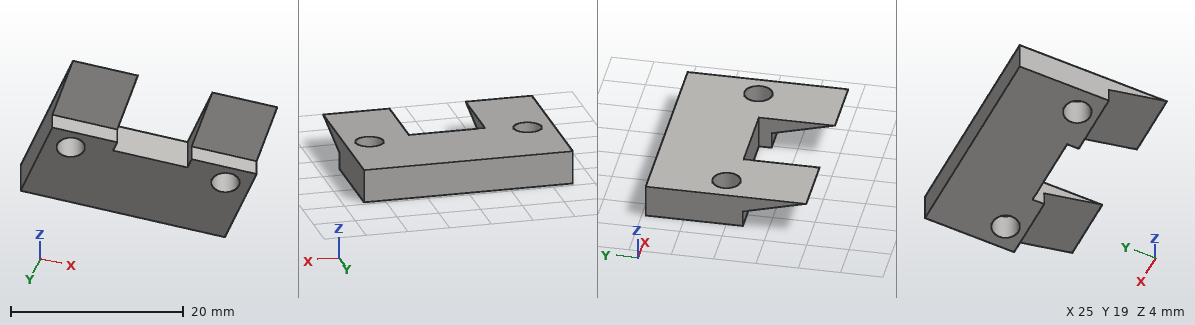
import cadquery as cq

width = 25.0
depth = 19.0
height = 4.0

lip_length = 7.5
lip_root_thickness = 2.0

slot_width = 9.1
slot_depth = 9.0

hole_diameter = 3.3
hole_spacing = 18.92
hole_pair_offset = 0.08
hole_from_front = 10.05

body = (
    cq.Workplane("YZ")
    .moveTo(0, height)
    .lineTo(lip_length, height - lip_root_thickness)
    .lineTo(lip_length, 0)
    .lineTo(depth, 0)
    .lineTo(depth, height)
    .close()
    .extrude(width / 2, both=True)
)

slot = cq.Workplane("XY").box(slot_width, slot_depth, height, centered=(True, False, False))

holes = (
    cq.Workplane("XY")
    .pushPoints([(hole_pair_offset + side * hole_spacing / 2, hole_from_front) for side in (-1, 1)])
    .circle(hole_diameter / 2)
    .extrude(height)
)

result = body.cut(slot).cut(holes)